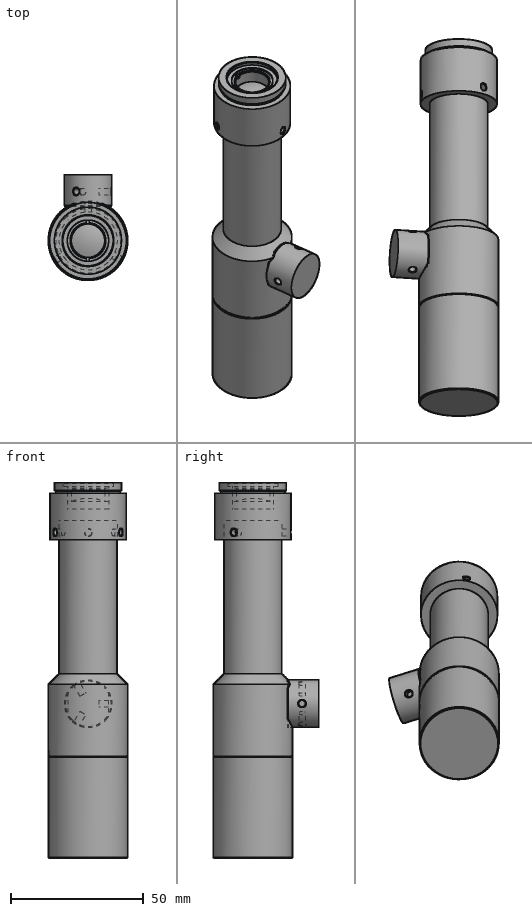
import cadquery as cq
import math


TOTAL_HEIGHT = 141.7
BARREL_DIAMETER = 30.0
JOINT_Z = 38.5
EDGE_CHAMFER = 0.4

SHOULDER_Z = 65.6
NECK_DIAMETER = 22.0
CONE_HEIGHT = (BARREL_DIAMETER - NECK_DIAMETER) / 2
NECK_TOP_Z = 127.5

COLLAR_DIAMETER = 28.9
COLLAR_BOTTOM_Z = 120.2
THREAD_DIAMETER = 25.4
THREAD_LENGTH = 4.0
RELIEF_DIAMETER = 24.4
RELIEF_WIDTH = 0.7
THREAD_CHAMFER = 0.4
COLLAR_TOP_Z = TOTAL_HEIGHT - THREAD_LENGTH
RECESS_DIAMETER = 19.0
RECESS_DEPTH = 1.4
RECESS_MOUTH_DIAMETER = 19.5
LENS_SEAT_DIAMETER = 15.6

RING_BORE = 12.6
RING_MOUTH_DIAMETER = 13.5
RING_TOP_DEPTH = 1.8
RING_BOTTOM_DEPTH = 7.0
RING_SLOT_WIDTH = 1.1
RING_SLOT_DEPTH = 1.4
LENS_DOME_RADIUS = 17.0
LENS_EDGE_THICKNESS = 2.8
RING_TOP_Z = TOTAL_HEIGHT - RING_TOP_DEPTH
LENS_RIM_Z = TOTAL_HEIGHT - RING_BOTTOM_DEPTH
LENS_BOTTOM_Z = LENS_RIM_Z - LENS_EDGE_THICKNESS

PORT_DIAMETER = 18.0
PORT_Z = 58.4
PORT_END_Y = 25.0
PORT_SEAT_Y = 12.9
PORT_CHAMFER = 0.4

SCREW_HOLE_DIAMETER = 2.5
SCREW_COUNTERSINK = 0.21
SCREW_COUNT = 3
COLLAR_SCREW_RISE = 2.8
COLLAR_SCREW_DEPTH = COLLAR_DIAMETER / 4
COLLAR_SCREW_START = 90.0
PORT_SCREW_Y = 18.5
PORT_SCREW_START = 0.0
PORT_SCREW_DEPTH = 5.0


def cylinder(diameter, bottom_z, top_z):
    """Upright cylinder on the Z axis between two heights."""
    return cq.Workplane("XY").workplane(offset=bottom_z).circle(diameter / 2).extrude(top_z - bottom_z)


def port_cylinder(diameter, start_y, end_y):
    """Cylinder on the light port's axis, running in +Y."""
    plane = cq.Plane(origin=(0, start_y, PORT_Z), xDir=(1, 0, 0), normal=(0, 1, 0))
    return cq.Workplane(plane).circle(diameter / 2).extrude(end_y - start_y)


def countersink(diameter, top_z, mouth_diameter):
    """45 degree cone that opens a bore on the Z axis to `mouth_diameter` at `top_z`."""
    height = (mouth_diameter - diameter) / 2
    base = cq.Vector(0, 0, top_z - height)
    return cq.Workplane(cq.Solid.makeCone(diameter / 2, mouth_diameter / 2, height, base))


def radial_holes(center, start_angle, across, outer_radius, depth):
    """Evenly spaced countersunk holes aimed at a center; `across` is the axis at +90 degrees from +X."""
    radius = SCREW_HOLE_DIAMETER / 2
    sag = outer_radius - math.sqrt(outer_radius**2 - radius**2)
    cone_depth = sag + SCREW_COUNTERSINK
    holes = cq.Workplane("XY")
    for i in range(SCREW_COUNT):
        angle = math.radians(start_angle + i * 360 / SCREW_COUNT)
        outward = cq.Vector(math.cos(angle), 0, 0) + across * math.sin(angle)
        mouth = center + outward * outer_radius
        bore = cq.Solid.makeCylinder(radius, depth, mouth, outward * -1)
        cone = cq.Solid.makeCone(radius + cone_depth, radius, cone_depth, mouth, outward * -1)
        holes = holes.add(bore.fuse(cone))
    return holes.combine()


def make_lower_tube():
    return cylinder(BARREL_DIAMETER, 0, JOINT_Z).faces("|Z").chamfer(EDGE_CHAMFER)


def make_barrel():
    barrel_radius = BARREL_DIAMETER / 2
    neck_radius = NECK_DIAMETER / 2
    barrel = (
        cq.Workplane("XZ")
        .moveTo(0, JOINT_Z)
        .lineTo(barrel_radius, JOINT_Z)
        .lineTo(barrel_radius, SHOULDER_Z)
        .lineTo(neck_radius, SHOULDER_Z + CONE_HEIGHT)
        .lineTo(neck_radius, NECK_TOP_Z)
        .lineTo(0, NECK_TOP_Z)
        .close()
        .revolve(360, (0, 0), (0, 1))
    )
    return barrel.cut(port_cylinder(PORT_DIAMETER, PORT_SEAT_Y, PORT_END_Y))


def make_port():
    port = port_cylinder(PORT_DIAMETER, PORT_SEAT_Y, PORT_END_Y).faces("<Y").chamfer(PORT_CHAMFER)
    center = cq.Vector(0, PORT_SCREW_Y, PORT_Z)
    across = cq.Vector(0, 0, 1)
    holes = radial_holes(center, PORT_SCREW_START, across, PORT_DIAMETER / 2, PORT_SCREW_DEPTH)
    return port.cut(holes)


def make_collar():
    flange = (
        cylinder(THREAD_DIAMETER, COLLAR_TOP_Z + RELIEF_WIDTH, TOTAL_HEIGHT)
        .faces("<Z")
        .chamfer(THREAD_CHAMFER)
    )
    collar = (
        cylinder(COLLAR_DIAMETER, COLLAR_BOTTOM_Z, COLLAR_TOP_Z)
        .union(cylinder(RELIEF_DIAMETER, COLLAR_TOP_Z, COLLAR_TOP_Z + RELIEF_WIDTH))
        .union(flange)
    )
    recess_floor_z = TOTAL_HEIGHT - RECESS_DEPTH
    recess = cylinder(RECESS_DIAMETER, recess_floor_z, TOTAL_HEIGHT)
    lens_seat = cylinder(LENS_SEAT_DIAMETER, LENS_BOTTOM_Z, TOTAL_HEIGHT)
    neck_socket = cylinder(NECK_DIAMETER, COLLAR_BOTTOM_Z, NECK_TOP_Z)
    collar = collar.cut(recess).cut(lens_seat).cut(neck_socket)

    collar = collar.cut(countersink(RECESS_DIAMETER, TOTAL_HEIGHT, RECESS_MOUTH_DIAMETER))

    center = cq.Vector(0, 0, COLLAR_BOTTOM_Z + COLLAR_SCREW_RISE)
    across = cq.Vector(0, 1, 0)
    holes = radial_holes(center, COLLAR_SCREW_START, across, COLLAR_DIAMETER / 2, COLLAR_SCREW_DEPTH)
    return collar.cut(holes)


def make_spanner_ring():
    bore = cylinder(RING_BORE, LENS_RIM_Z, RING_TOP_Z)
    ring = cylinder(LENS_SEAT_DIAMETER, LENS_RIM_Z, RING_TOP_Z).cut(bore)
    slots = (
        cq.Workplane("XY")
        .workplane(offset=RING_TOP_Z - RING_SLOT_DEPTH)
        .rect(RING_SLOT_WIDTH, LENS_SEAT_DIAMETER)
        .extrude(RING_SLOT_DEPTH)
    )
    ring = ring.cut(countersink(RING_BORE, RING_TOP_Z, RING_MOUTH_DIAMETER))
    return ring.cut(slots)


def make_lens():
    """Plano-convex lens whose dome rises inside the spanner ring."""
    dome_edge = RING_BORE / 2
    dome_drop = math.sqrt(LENS_DOME_RADIUS**2 - dome_edge**2)
    sphere_center = (0, 0, LENS_RIM_Z - dome_drop)
    sphere = cq.Workplane("XZ").sphere(LENS_DOME_RADIUS).translate(sphere_center)
    dome = cylinder(RING_BORE, LENS_RIM_Z, TOTAL_HEIGHT).intersect(sphere)
    return cylinder(LENS_SEAT_DIAMETER, LENS_BOTTOM_Z, LENS_RIM_Z).union(dome)


lower_tube = make_lower_tube()
barrel = make_barrel()
port = make_port()
collar = make_collar()
spanner_ring = make_spanner_ring()
lens = make_lens()

result = cq.Compound.makeCompound(
    [
        lower_tube.val(),
        barrel.val(),
        port.val(),
        collar.val(),
        spanner_ring.val(),
        lens.val(),
    ]
)